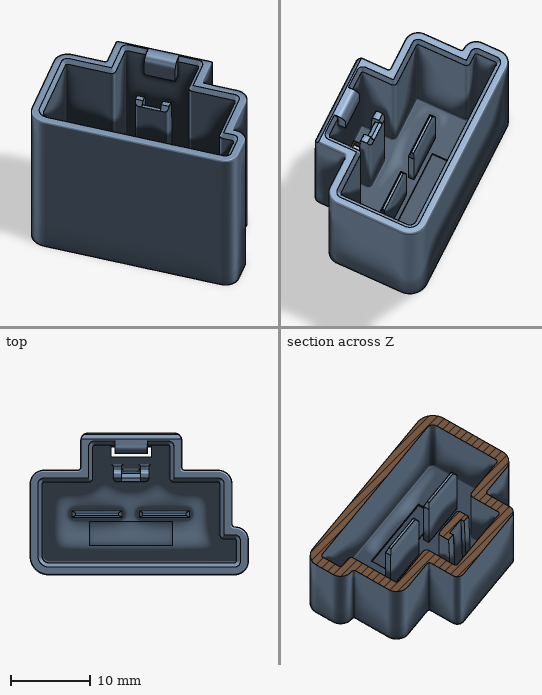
import cadquery as cq
import math


width = 27.55
depth = 17.9
height = 21.3
body_depth = 13.22
shoulder_x = 25.48
step_depth = 6.05
tower_left = 6.4
tower_right = 19.15
front_left_radius = 2.4
body_radius = 1.8
step_radius = 1.7
tower_radius = 0.96
outer_notch_radius = 0.33
rim_fillet = 0.28

relief_depth = 0.22
relief_start = 16.8
bevel_depth = 0.55
bevel_height = 0.85

wall = 1.52
floor = 1.52
mouth_chamfer = 0.52
inner_radius = 0.28
inner_notch_radius = 0.55
floor_fillet = 0.25

hook_left = 10.7
hook_right = 14.8
hook_reach = 1.05
hook_bottom = 18.32
hook_radius = 1.05
opening_left = 10.22
opening_right = 15.3
opening_depth = 1.5

post_left = 10.52
post_right = 15.0
post_front = 11.76
post_back = 13.75
post_crown_back = 13.22
post_top = 16.8
post_radius = 0.47
post_base_fillet = 0.25
gap_left = 11.52
gap_right = 13.95
arm_crown_front = 12.23
arm_crown_radius = 0.52
web_top = 16.12
web_back_top = 12.8
web_back_base = 13.17
web_ramp = 0.58

blade_lefts = [5.32, 13.8]
blade_front = 7.27
blade_width = 6.28
blade_thickness = 0.8
blade_height = 8.26
blade_tip_end = 0.4
blade_tip_side = 0.25
blade_tip_height = 0.83

pocket_left = 7.52
pocket_front = 3.7
pocket_width = 10.47
pocket_depth = 3.03
pocket_sink = 0.28


def rounded_outline(corners, base_z):
    """Closed wire through (x, y, radius) corners, each rounded by a tangent arc."""
    arcs = []
    for i, (x, y, radius) in enumerate(corners):
        corner = cq.Vector(x, y, base_z)
        before = corners[i - 1]
        after = corners[(i + 1) % len(corners)]
        to_before = (cq.Vector(before[0], before[1], base_z) - corner).normalized()
        to_after = (cq.Vector(after[0], after[1], base_z) - corner).normalized()
        half_angle = to_before.getAngle(to_after) / 2
        bisector = (to_before + to_after).normalized()
        trim = radius / math.tan(half_angle)
        middle = corner + bisector * (radius / math.sin(half_angle) - radius)
        arcs.append((corner + to_before * trim, middle, corner + to_after * trim))
    edges = []
    for i, (start, middle, end) in enumerate(arcs):
        edges.append(cq.Edge.makeLine(arcs[i - 1][2], start))
        edges.append(cq.Edge.makeThreePointArc(start, middle, end))
    return cq.Wire.assembleEdges(edges)


def stepped_prism(inset, front_left, body, step, tower, notch, base_z):
    """Solid with the housing outline moved inwards by inset, from base_z to the rim."""
    left = inset
    front = inset
    right = width - inset
    corners = [
        (left, front, front_left),
        (right, front, body),
        (right, step_depth - inset, step),
        (shoulder_x - inset, step_depth - inset, notch),
        (shoulder_x - inset, body_depth - inset, body),
        (tower_right - inset, body_depth - inset, notch),
        (tower_right - inset, depth - inset, tower),
        (tower_left + inset, depth - inset, tower),
        (tower_left + inset, body_depth - inset, notch),
        (left, body_depth - inset, body),
    ]
    outline = rounded_outline(corners, base_z)
    solid = cq.Solid.extrudeLinear(outline, [], cq.Vector(0, 0, height - base_z))
    return cq.Workplane(obj=solid)


def box(x_min, x_max, y_min, y_max, z_min, z_max):
    size = (x_max - x_min, y_max - y_min, z_max - z_min)
    return cq.Workplane().box(*size, centered=False).translate((x_min, y_min, z_min))


def side_profile(x):
    """Sketch plane at the given X whose local axes are Y and Z."""
    return cq.Workplane("YZ", origin=(x, 0, 0))


def make_shell():
    """Housing walls and floor with the stepped back face of the tower."""
    shell = stepped_prism(
        0, front_left_radius, body_radius, step_radius, tower_radius, outer_notch_radius, 0
    )
    shell = shell.faces(">Z").edges().fillet(rim_fillet)

    cavity_front_left = front_left_radius - wall
    cavity = stepped_prism(
        wall, cavity_front_left, inner_radius, inner_radius, inner_radius, inner_notch_radius, floor
    )
    cavity = cavity.faces("<Z").edges().fillet(floor_fillet)
    shell = shell.cut(cavity)
    mouth_edges = shell.faces(">Z").wires().vals()[1].Edges()
    shell = shell.newObject(mouth_edges).chamfer(mouth_chamfer)

    relief_y = depth - relief_depth
    relief = box(0, width, relief_y, depth, relief_start, height)
    bevel = (
        side_profile(0)
        .moveTo(relief_y, height - bevel_height)
        .lineTo(relief_y, height)
        .lineTo(relief_y - bevel_depth, height)
        .close()
        .extrude(width)
    )
    return shell.cut(relief).cut(bevel)


def make_hook():
    """Latch hook with a rounded lead-in, hanging on the inside of the tower wall."""
    wall_y = depth - wall
    tip_y = wall_y - hook_reach
    arc_middle = hook_radius * math.sqrt(0.5)
    arc_center_z = height - hook_radius
    return (
        side_profile(hook_left)
        .moveTo(wall_y + mouth_chamfer, hook_bottom)
        .lineTo(tip_y, hook_bottom)
        .lineTo(tip_y, arc_center_z)
        .threePointArc(
            (tip_y + hook_radius - arc_middle, arc_center_z + arc_middle),
            (tip_y + hook_radius, height),
        )
        .lineTo(wall_y + mouth_chamfer, height)
        .close()
        .extrude(hook_right - hook_left)
    )


def make_post():
    """Post, U-shaped in plan: two arms joined by a lower web at the front."""
    crown_y = post_crown_back - arm_crown_radius
    crown_z = post_top - arm_crown_radius
    arc_middle = arm_crown_radius * math.sqrt(0.5)
    post = (
        side_profile(post_left)
        .moveTo(post_front, floor)
        .lineTo(post_front, web_top)
        .lineTo(arm_crown_front, post_top)
        .lineTo(crown_y, post_top)
        .threePointArc((crown_y + arc_middle, crown_z + arc_middle), (post_crown_back, crown_z))
        .lineTo(post_back, floor)
        .close()
        .extrude(post_right - post_left)
    )
    front_corners = (
        cq.Workplane()
        .rect(post_right - post_left, 2 * (post_back - post_front))
        .extrude(post_top)
        .edges("|Z")
        .fillet(post_radius)
        .translate(((post_left + post_right) / 2, post_back, 0))
    )

    gap = (
        side_profile(gap_left)
        .moveTo(post_front, post_top)
        .lineTo(post_front, web_top)
        .lineTo(arm_crown_front, web_top)
        .lineTo(web_back_top, web_top - web_ramp)
        .lineTo(web_back_base, floor)
        .lineTo(post_back, floor)
        .lineTo(post_back, post_top)
        .close()
        .extrude(gap_right - gap_left)
    )
    return post.intersect(front_corners).cut(gap)


def fillet_post_base(body):
    """Round the foot of the post where it meets the floor."""
    margin = post_base_fillet / 2
    foot = cq.selectors.BoxSelector(
        (post_left - margin, post_front - margin, floor - margin),
        (post_right + margin, post_back + margin, floor + margin),
        boundingbox=True,
    )
    return body.edges(foot).fillet(post_base_fillet)


def make_blade(left):
    """Flat contact blade with a tapered tip."""
    center_x = left + blade_width / 2
    center_y = blade_front + blade_thickness / 2
    shank_height = blade_height - blade_tip_height
    shank = (
        cq.Workplane(origin=(center_x, center_y, floor))
        .rect(blade_width, blade_thickness)
        .extrude(shank_height)
    )
    tip = (
        cq.Workplane(origin=(center_x, center_y, floor + shank_height))
        .rect(blade_width, blade_thickness)
        .workplane(offset=blade_tip_height)
        .rect(blade_width - 2 * blade_tip_end, blade_thickness - 2 * blade_tip_side)
        .loft()
    )
    return shank.union(tip)


tower_wall_y = depth - wall
hook_opening = box(opening_left, opening_right, tower_wall_y - opening_depth, tower_wall_y, 0, floor)
pocket = box(
    pocket_left, pocket_left + pocket_width,
    pocket_front, pocket_front + pocket_depth,
    floor - pocket_sink, floor,
)

result = fillet_post_base(make_shell().union(make_post())).union(make_hook())
for blade_left in blade_lefts:
    result = result.union(make_blade(blade_left))
result = result.cut(hook_opening).cut(pocket)